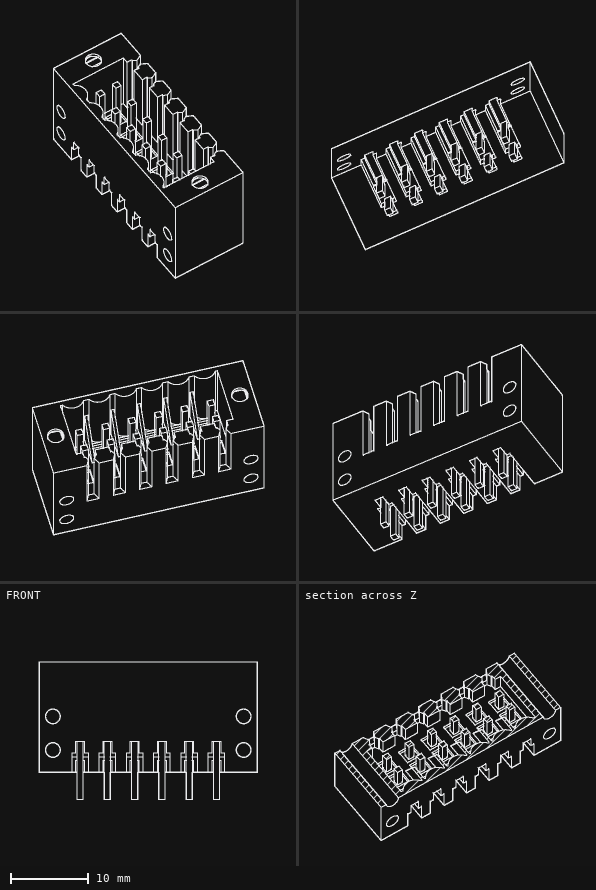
import cadquery as cq
import math

LENGTH = 28.0
WIDTH = 10.5
HEIGHT = 14.2

PITCH = 3.5
COLUMNS = 6
FRONT_ROW_Y = -1.48
BACK_ROW_Y = 1.0
PIN_SIZE = 0.8
PIN_TOP = 11.9
PIN_TAIL = 3.5

CAVITY_LENGTH = 20.83
CAVITY_FRONT = -4.6
CAVITY_BACK = 3.15
CAVITY_FLOOR = 5.05

RECESS_DEPTH = 0.5
PIN_RECESS_SIZE = 2.02
KEY_RECESS_LENGTH = 2.8
KEY_RECESS_WIDTH = 0.7
KEY_RECESS_Y = -3.42

BULGE_CHORD = 2.8
BULGE_RISE = 0.78

RIB_THICKNESS = 0.42
RIB_BACK = -0.95
RIB_SLOPE = 56.8

GAP_WIDTH = 1.62
GAP_SHOULDER_Y = 3.9
GAP_SHOULDER_WIDTH = 1.35
GAP_NECK_Y = 4.4
GAP_NECK_WIDTH = 0.75
GAP_MOUTH_WIDTH = 1.62
GAP_SILL = 6.05

NOTCH_WIDTH = 2.13
NOTCH_HEIGHT = 2.52
KEYHOLE_WIDTH = 1.15
KEYHOLE_HEIGHT = 3.98
TUNNEL_HEIGHT = 2.02
TUNNEL_END_HEIGHT = 1.55
TUNNEL_END_Y = 2.52

FIXING_X = 12.25
CROSS_HOLE_DIAMETER = 1.85
CROSS_HOLE_HEIGHTS = (2.88, 7.2)
NUT_HOLE_DIAMETER = 2.1
NUT_HOLE_DEPTH = 0.45
CHAMBER_LENGTH = 5.2
CHAMBER_WIDTH = 2.25
CHAMBER_STEP_DEPTH = 1.5
CHAMBER_UNDERCUT_WIDTH = 2.52
CHAMBER_DEPTH = 3.02

FRONT = -WIDTH / 2
BACK = WIDTH / 2
ROWS_MID_Y = (FRONT_ROW_Y + BACK_ROW_Y) / 2
COLUMN_X = [(i - (COLUMNS - 1) / 2) * PITCH for i in range(COLUMNS)]
RIB_X = [x + PITCH / 2 for x in COLUMN_X[:-1]]


def block(x_size, y_range, z_range, x=0.0):
    """Box centred on x, spanning the given Y and Z ranges."""
    y0, y1 = y_range
    z0, z1 = z_range
    box = cq.Workplane("XY").box(x_size, y1 - y0, z1 - z0, centered=(True, False, False))
    return box.translate((x, y0, z0))


def centred_span(middle, size):
    return (middle - size / 2, middle + size / 2)


def prism(outline, z_range):
    """Upright solid from a closed outline of (x, y) points."""
    z0, z1 = z_range
    return cq.Workplane("XY").workplane(offset=z0).polyline(outline).close().extrude(z1 - z0)


def front_bulge(x):
    half = BULGE_CHORD / 2
    return (
        cq.Workplane("XY")
        .workplane(offset=CAVITY_FLOOR)
        .moveTo(x - half, CAVITY_FRONT)
        .threePointArc((x, CAVITY_FRONT + BULGE_RISE), (x + half, CAVITY_FRONT))
        .close()
        .extrude(HEIGHT - CAVITY_FLOOR)
    )


def mating_cavity():
    cavity = block(CAVITY_LENGTH, (CAVITY_FRONT, CAVITY_BACK), (CAVITY_FLOOR, HEIGHT))
    for x in COLUMN_X:
        cavity = cavity.cut(front_bulge(x))
    return cavity


def rib(x):
    rise = (RIB_BACK - CAVITY_FRONT) * math.tan(math.radians(RIB_SLOPE))
    profile = [
        (CAVITY_FRONT, CAVITY_FLOOR),
        (RIB_BACK, CAVITY_FLOOR),
        (CAVITY_FRONT, CAVITY_FLOOR + rise),
    ]
    solid = cq.Workplane("YZ").polyline(profile).close().extrude(RIB_THICKNESS / 2, both=True)
    return solid.translate((x, 0, 0))


def wall_gap(x):
    """Keyed slot down to the cavity floor, opening into a flared mouth with a raised sill."""
    key = block(GAP_WIDTH, (CAVITY_BACK, GAP_SHOULDER_Y), (CAVITY_FLOOR, HEIGHT), x)
    throat = prism(
        [
            (x - GAP_SHOULDER_WIDTH / 2, GAP_SHOULDER_Y),
            (x + GAP_SHOULDER_WIDTH / 2, GAP_SHOULDER_Y),
            (x + GAP_NECK_WIDTH / 2, GAP_NECK_Y),
            (x - GAP_NECK_WIDTH / 2, GAP_NECK_Y),
        ],
        (CAVITY_FLOOR, HEIGHT),
    )
    mouth = prism(
        [
            (x - GAP_NECK_WIDTH / 2, GAP_NECK_Y),
            (x + GAP_NECK_WIDTH / 2, GAP_NECK_Y),
            (x + GAP_MOUTH_WIDTH / 2, BACK),
            (x - GAP_MOUTH_WIDTH / 2, BACK),
        ],
        (GAP_SILL, HEIGHT),
    )
    return key.union(throat).union(mouth)


def floor_recesses(x):
    depth = (CAVITY_FLOOR - RECESS_DEPTH, CAVITY_FLOOR)
    recesses = block(KEY_RECESS_LENGTH, centred_span(KEY_RECESS_Y, KEY_RECESS_WIDTH), depth, x)
    for y in (FRONT_ROW_Y, BACK_ROW_Y):
        recesses = recesses.union(block(PIN_RECESS_SIZE, centred_span(y, PIN_RECESS_SIZE), depth, x))
    return recesses


def underside_notch(x):
    """Keyhole notch in the front wall, continued by a lower and narrower tunnel."""
    notch = block(NOTCH_WIDTH, (FRONT, FRONT_ROW_Y), (0, NOTCH_HEIGHT), x)
    keyhole = block(KEYHOLE_WIDTH, (FRONT, FRONT_ROW_Y), (0, KEYHOLE_HEIGHT), x)
    tunnel = block(NOTCH_WIDTH, (FRONT_ROW_Y, BACK_ROW_Y), (0, TUNNEL_HEIGHT), x)
    tunnel_end = block(KEYHOLE_WIDTH, (BACK_ROW_Y, TUNNEL_END_Y), (0, TUNNEL_END_HEIGHT), x)
    return notch.union(keyhole).union(tunnel).union(tunnel_end)


def pin(x, y):
    return block(PIN_SIZE, centred_span(y, PIN_SIZE), (-PIN_TAIL, PIN_TOP), x)


def cross_hole(x, z):
    hole = cq.Workplane("XZ").center(x, z).circle(CROSS_HOLE_DIAMETER / 2)
    return hole.extrude(WIDTH / 2, both=True)


def nut_pocket(x):
    """Round opening in the top face above an undercut rectangular chamber."""
    opening = (
        cq.Workplane("XY")
        .workplane(offset=HEIGHT - NUT_HOLE_DEPTH)
        .center(x, ROWS_MID_Y)
        .circle(NUT_HOLE_DIAMETER / 2)
        .extrude(NUT_HOLE_DEPTH)
    )
    y_range = centred_span(ROWS_MID_Y, CHAMBER_LENGTH)
    step_z = HEIGHT - CHAMBER_STEP_DEPTH
    upper = block(CHAMBER_WIDTH, y_range, (step_z, HEIGHT - NUT_HOLE_DEPTH), x)
    lower = block(CHAMBER_UNDERCUT_WIDTH, y_range, (HEIGHT - CHAMBER_DEPTH, step_z), x)
    return opening.union(upper).union(lower)


result = block(LENGTH, (FRONT, BACK), (0, HEIGHT)).cut(mating_cavity())

for column_x in COLUMN_X:
    result = result.cut(wall_gap(column_x))
    result = result.cut(floor_recesses(column_x))
    result = result.cut(underside_notch(column_x))

for rib_x in RIB_X:
    result = result.union(rib(rib_x))

for end_x in (-FIXING_X, FIXING_X):
    result = result.cut(nut_pocket(end_x))
    for hole_z in CROSS_HOLE_HEIGHTS:
        result = result.cut(cross_hole(end_x, hole_z))

for column_x in COLUMN_X:
    for row_y in (FRONT_ROW_Y, BACK_ROW_Y):
        result = result.union(pin(column_x, row_y))